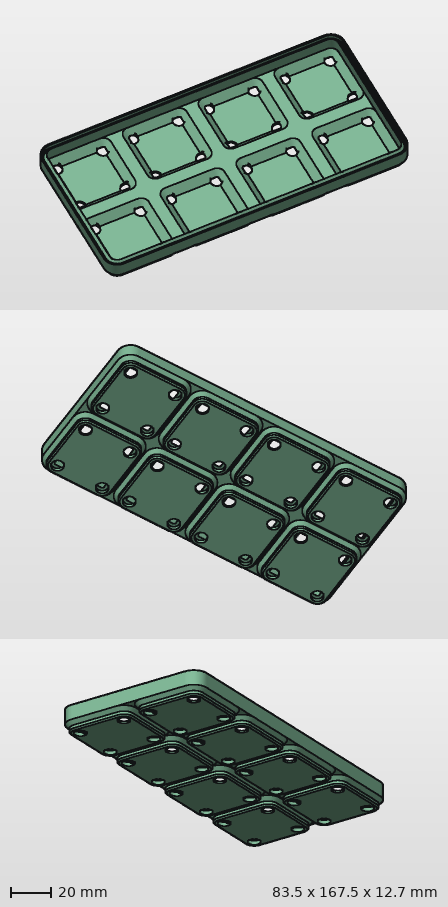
import cadquery as cq

LENGTH = 167.5
COLUMNS = 2
ROWS = 4
GAP = 0.5
PITCH = (LENGTH + GAP) / ROWS
WIDTH = COLUMNS * PITCH - GAP
CELL_SIDE = PITCH - GAP
CORNER_RADIUS = 7.5

FOOT_BOTTOM_CHAMFER = 0.8
FOOT_STRAIGHT = 1.7
FOOT_TOP_CHAMFER = 2.2
FOOT_HEIGHT = FOOT_BOTTOM_CHAMFER + FOOT_STRAIGHT + FOOT_TOP_CHAMFER

HEIGHT = 12.7
WALL = 3.2
LIP = 0.8
GROOVE_FLOOR_WIDTH = 0.75
RIDGE_SLOPE_WIDTH = WALL - LIP - GROOVE_FLOOR_WIDTH
GROOVE_DEPTH = 2.3
RIDGE_SLOPE_HEIGHT = 1.8

FLOOR = 1.2
POCKET_DEPTH = 4.2
DECK_Z = FLOOR + POCKET_DEPTH
POCKET_TOP_SIDE = CELL_SIDE - 2 * WALL
POCKET_FLOOR_SIDE = POCKET_TOP_SIDE - 2 * POCKET_DEPTH

HOLE_DIAMETER = 6.5
HOLE_DEPTH = 2.2
HOLE_SPACING = 26.1


def rounded_block(length_x, length_y, radius, bottom_z, top_z):
    """Block with rounded upright edges, centred on the Z axis."""
    block = cq.Workplane("XY", origin=(0, 0, bottom_z)).rect(length_x, length_y).extrude(top_z - bottom_z)
    return block.edges("|Z").fillet(radius)


def tray_block(inset, bottom_z, top_z):
    """Block following the tray outline at a constant inset."""
    return rounded_block(
        WIDTH - 2 * inset,
        LENGTH - 2 * inset,
        CORNER_RADIUS - inset,
        bottom_z,
        top_z,
    )


def at_every_cell(body):
    """Copies of a body made about the origin, one at the centre of each cell."""
    copies = cq.Workplane("XY").rarray(PITCH, PITCH, COLUMNS, ROWS)
    return copies.eachpoint(lambda place: body.val().located(place))


def make_foot():
    """Foot of one cell, reaching halfway up into the deck."""
    band_side = CELL_SIDE - 2 * FOOT_TOP_CHAMFER
    band = rounded_block(band_side, band_side, CORNER_RADIUS - FOOT_TOP_CHAMFER, 0, FOOT_HEIGHT)
    band = band.faces("<Z").chamfer(FOOT_BOTTOM_CHAMFER)
    collar_bottom_z = FOOT_HEIGHT - FOOT_TOP_CHAMFER
    collar_top_z = (FOOT_HEIGHT + DECK_Z) / 2
    collar = rounded_block(CELL_SIDE, CELL_SIDE, CORNER_RADIUS, collar_bottom_z, collar_top_z)
    return band.union(collar.faces("<Z").chamfer(FOOT_TOP_CHAMFER))


def make_pocket():
    """Pocket whose walls lean out from a square floor, with a cone at each corner."""
    half_floor = POCKET_FLOOR_SIDE / 2
    half_top = POCKET_TOP_SIDE / 2
    trough_outline = [
        (-half_floor, FLOOR),
        (half_floor, FLOOR),
        (half_top, DECK_Z),
        (-half_top, DECK_Z),
    ]
    trough = cq.Workplane("XZ").polyline(trough_outline).close().extrude(half_floor, both=True)
    pocket = trough.union(trough.rotate((0, 0, 0), (0, 0, 1), 90))
    corner_cone = cq.Solid.makeCone(0, POCKET_DEPTH, POCKET_DEPTH)
    corners = cq.Workplane("XY", origin=(0, 0, FLOOR)).rect(
        POCKET_FLOOR_SIDE, POCKET_FLOOR_SIDE, forConstruction=True
    )
    return pocket.union(corners.vertices().eachpoint(lambda place: corner_cone.located(place)))


def make_holes():
    """The four holes of one cell."""
    corners = cq.Workplane("XY").rect(HOLE_SPACING, HOLE_SPACING, forConstruction=True)
    return corners.vertices().circle(HOLE_DIAMETER / 2).extrude(HOLE_DEPTH)


def make_rim_groove():
    """Groove with a flat floor; its inner side is a low step, then a slope up to the inner wall."""
    bottom_z = HEIGHT - GROOVE_DEPTH
    ridge = tray_block(LIP + GROOVE_FLOOR_WIDTH, bottom_z, HEIGHT)
    ridge = ridge.faces(">Z").chamfer(RIDGE_SLOPE_HEIGHT, RIDGE_SLOPE_WIDTH)
    return tray_block(LIP, bottom_z, HEIGHT).cut(ridge)


result = tray_block(0, FOOT_HEIGHT, HEIGHT)
result = result.union(at_every_cell(make_foot()))
result = result.cut(tray_block(WALL, DECK_Z, HEIGHT))
result = result.cut(make_rim_groove())
result = result.cut(at_every_cell(make_pocket()))
result = result.cut(at_every_cell(make_holes()))